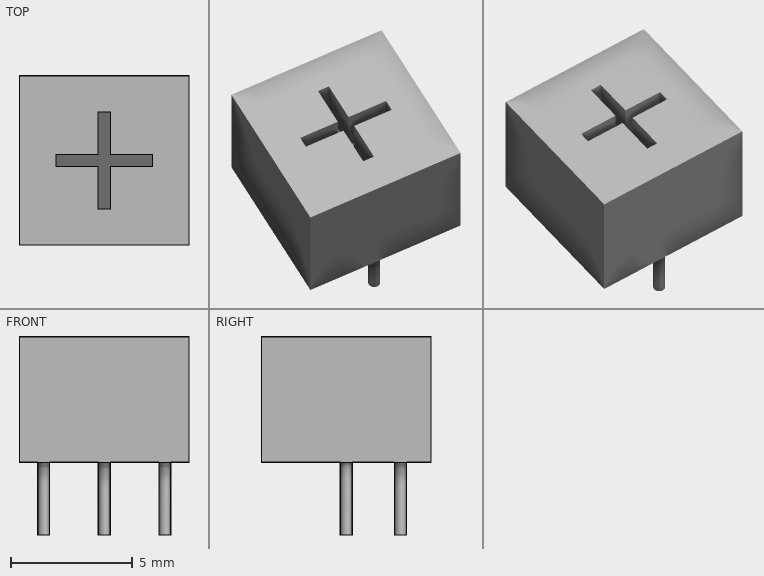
import cadquery as cq

body_side = 7.0
total_height = 8.2
pin_length = 3.0
body_height = total_height - pin_length

slot_length = 4.0
slot_width = 0.5
slot_depth = 2.0

pin_diameter = 0.5
pin_pitch = 2.5
middle_pin_offset = 2.24
pin_centers = [(-pin_pitch, 0), (0, middle_pin_offset), (pin_pitch, 0)]


def make_body():
    """Housing block with its underside on Z = 0."""
    return cq.Workplane("XY").box(body_side, body_side, body_height, centered=(True, True, False))


def make_cross_slot():
    """Cutter for the two crossed slots, reaching down from the top face."""
    floor = cq.Workplane("XY").workplane(offset=body_height - slot_depth)
    along_x = floor.rect(slot_length, slot_width).extrude(slot_depth)
    along_y = floor.rect(slot_width, slot_length).extrude(slot_depth)
    return along_x.union(along_y)


def make_pins():
    """Pins hanging down from the underside of the housing."""
    return cq.Workplane("XY").pushPoints(pin_centers).circle(pin_diameter / 2).extrude(-pin_length)


result = make_body().cut(make_cross_slot()).union(make_pins())